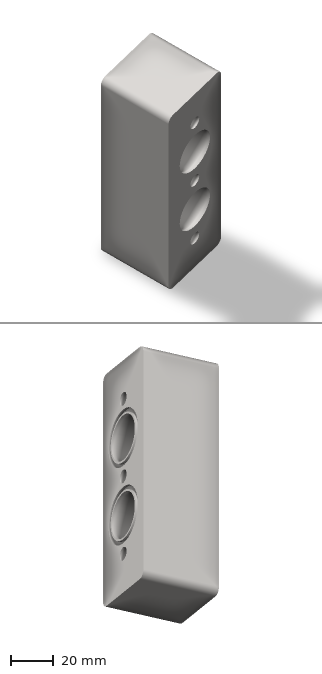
import cadquery as cq

height = 120.0
width = height / 3
depth = width
corner_radius = 3.5

hole_pitch = height / 6
bore_diameter = 23.0
screw_hole_diameter = 6.7

groove_outer_diameter = 29.0
groove_inner_diameter = 25.0
groove_depth = 1.5

bore_heights = [-hole_pitch, hole_pitch]
screw_hole_heights = [-2 * hole_pitch, 0, 2 * hole_pitch]


def face_cylinder(diameter, length, z):
    """Cylinder running from the -X face into the block at height z."""
    start = cq.Vector(-depth / 2, 0, z)
    return cq.Workplane(cq.Solid.makeCylinder(diameter / 2, length, start, cq.Vector(1, 0, 0)))


def ring_groove(z):
    outer = face_cylinder(groove_outer_diameter, groove_depth, z)
    return outer.cut(face_cylinder(groove_inner_diameter, groove_depth, z))


result = cq.Workplane().box(depth, width, height).edges("|X").fillet(corner_radius)

for z in bore_heights:
    result = result.cut(face_cylinder(bore_diameter, depth, z))
    result = result.cut(ring_groove(z))

for z in screw_hole_heights:
    result = result.cut(face_cylinder(screw_hole_diameter, depth, z))